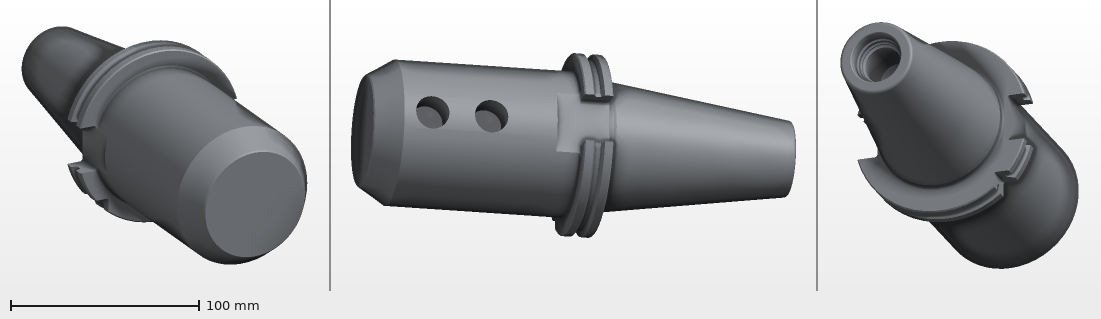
import cadquery as cq
total_length = 231.5
gauge_x = 100.7
neck_step_x = 102.1
flange_front_x = 105.0
flange_thickness = 15.7
flange_back_x = flange_front_x + flange_thickness
nose_start_x = 216.8

taper_slope = 7 / 24 / 2
gauge_radius = 35.0
small_end_radius = gauge_radius - gauge_x * taper_slope
small_end_fillet = 1.9
neck_radius = 34.7
neck_fillet = 1.5

flange_radius = 97.5 / 2
flange_edge_chamfer = 0.7
groove_x = flange_front_x + 7.6
groove_root_radius = 45.6
groove_mouth_width = 6.0
groove_root_width = 2.8

body_radius = 78.0 / 2
body_fillet = 1.0
nose_radius = 30.3
nose_chamfer = 0.7

slot_width = 25.7
slot_end_x = 133.6
slot_corner_radius = 1.9
slot_floor_plus_y = 35.5
slot_floor_minus_y = 37.5

notch_offset = 30.0
notch_corner_radius = 1.0

screw_hole_diameter = 18.0
screw_hole_depth = 18.5
screw_hole_x = (169.5, 201.5)

mouth_radius = 14.4
lead_in_radius = 14.0
pilot_radius = 13.5
recess_radius = 12.5
shoulder_radius = 11.5
thread_radius = 10.2
lead_in_x = 0.5
pilot_start_x = 2.8
pilot_end_x = 7.5
recess_start_x = 7.9
recess_end_x = 10.2
shoulder_start_x = 10.7
shoulder_end_x = 11.5
thread_start_x = 12.3
thread_end_x = 37.0
drill_tip_length = 6.0


def make_turned_blank():
    """Revolve the outer profile of shank, flange, body and nose about X."""
    groove_half_mouth = groove_mouth_width / 2
    groove_half_root = groove_root_width / 2
    rim_radius = flange_radius - flange_edge_chamfer
    profile = (
        cq.Workplane("XY")
        .moveTo(0, 0)
        .lineTo(0, small_end_radius)
        .lineTo(gauge_x, gauge_radius)
        .lineTo(neck_step_x, neck_radius)
        .lineTo(flange_front_x - neck_fillet, neck_radius)
        .radiusArc((flange_front_x, neck_radius + neck_fillet), -neck_fillet)
        .lineTo(flange_front_x, rim_radius)
        .lineTo(flange_front_x + flange_edge_chamfer, flange_radius)
        .lineTo(groove_x - groove_half_mouth, flange_radius)
        .lineTo(groove_x - groove_half_root, groove_root_radius)
        .lineTo(groove_x + groove_half_root, groove_root_radius)
        .lineTo(groove_x + groove_half_mouth, flange_radius)
        .lineTo(flange_back_x - flange_edge_chamfer, flange_radius)
        .lineTo(flange_back_x, rim_radius)
        .lineTo(flange_back_x, body_radius + body_fillet)
        .radiusArc((flange_back_x + body_fillet, body_radius), -body_fillet)
        .lineTo(nose_start_x, body_radius)
        .lineTo(total_length - nose_chamfer, nose_radius)
        .lineTo(total_length, nose_radius - nose_chamfer)
        .lineTo(total_length, 0)
        .close()
    )
    blank = profile.revolve(360, (0, 0, 0), (1, 0, 0))
    return blank.faces("<X").edges().fillet(small_end_fillet)


def make_draw_bar_bore():
    """Stepped blind bore with a conical drill tip, opening at the small end."""
    return (
        cq.Workplane("XY")
        .moveTo(0, 0)
        .lineTo(0, mouth_radius)
        .lineTo(lead_in_x, lead_in_radius)
        .lineTo(pilot_start_x, pilot_radius)
        .lineTo(pilot_end_x, pilot_radius)
        .lineTo(recess_start_x, recess_radius)
        .lineTo(recess_end_x, recess_radius)
        .lineTo(shoulder_start_x, shoulder_radius)
        .lineTo(shoulder_end_x, shoulder_radius)
        .lineTo(thread_start_x, thread_radius)
        .lineTo(thread_end_x, thread_radius)
        .lineTo(thread_end_x + drill_tip_length, 0)
        .close()
        .revolve(360, (0, 0, 0), (1, 0, 0))
    )


def make_drive_slot(floor_distance, side):
    """Slot on the given Y side (+1 or -1) with rounded floor corners."""
    length = slot_end_x - flange_front_x
    height = flange_radius
    slot = (
        cq.Workplane("XY")
        .box(length, height, slot_width, centered=(False, False, True))
        .edges("|X and <Y")
        .fillet(slot_corner_radius)
        .translate((flange_front_x, floor_distance, 0))
    )
    return slot if side > 0 else slot.mirror("XZ")


def make_body_flat():
    """Full-width flat on +Y between the flange and the end of the drive slot."""
    length = slot_end_x - flange_back_x
    width = 2 * flange_radius
    return (
        cq.Workplane("XY")
        .box(length, flange_radius, width, centered=(False, False, True))
        .translate((flange_back_x, slot_floor_plus_y, 0))
    )


def make_orientation_notch():
    """Square corner cut through the flange on the -Y, -Z side."""
    size = flange_radius
    return (
        cq.Workplane("XY")
        .box(flange_thickness, size, size, centered=False)
        .edges("|X and >Y and >Z")
        .fillet(notch_corner_radius)
        .translate((flange_front_x, -notch_offset - size, -notch_offset - size))
    )


def make_screw_hole(x):
    """Radial blind hole entering the body from +Y."""
    return (
        cq.Workplane("XZ", origin=(x, body_radius, 0))
        .circle(screw_hole_diameter / 2)
        .extrude(screw_hole_depth)
    )


result = make_turned_blank()
result = result.cut(make_draw_bar_bore())
result = result.cut(make_drive_slot(slot_floor_plus_y, 1))
result = result.cut(make_drive_slot(slot_floor_minus_y, -1))
result = result.cut(make_body_flat())
result = result.cut(make_orientation_notch())
for hole_x in screw_hole_x:
    result = result.cut(make_screw_hole(hole_x))